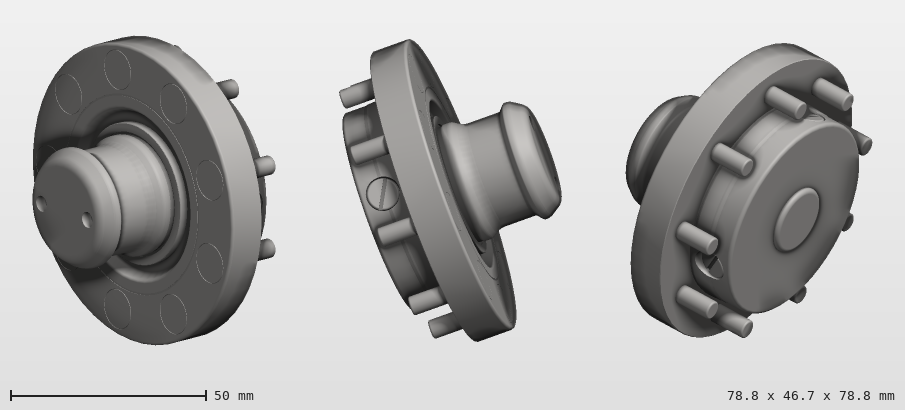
import cadquery as cq
import math


flange_radius = 39.4
flange_thickness = 10.0
flange_front_fillet = 0.8
flange_back_chamfer = 0.2

joint_outer_radius = 26.3
joint_inner_radius = 25.8
joint_depth = 0.1
recess_outer_radius = 23.25
recess_floor_radius = 20.65
recess_wall_angle = math.radians(57)
recess_fillet = 0.8
island_radius = 18.6
island_face_y = 0.4
island_chamfer = 0.15
gap_radius = 16.3
gap_floor_y = island_face_y + 0.5

knob_length = 22.7
knob_radius = 15.8
knob_root_radius = 15.55
knob_root_length = 0.5
neck_radius = 14.0
neck_root_y = -7.0
neck_tip_y = -15.05
collar_end_y = -2.05
collar_fillet = 2.0
neck_root_fillet = 5.2
neck_tip_fillet = 1.0
lip_start_y = -17.4
lip_fillet = 0.6
rim_start_y = -17.6
rim_fillet = 3.0
knob_tip_radius = 11.45
knob_tip_fillet = 3.0
flank_angle = math.radians(30)
lip_angle = math.radians(45)

spanner_hole_offset = 9.0
spanner_hole_radius = 2.1
spanner_hole_depth = 3.0
spanner_cone_depth = 1.2

body_back_y = 22.6
body_back_radius = 27.0
body_back_fillet = 1.0
body_cone_back_y = 16.4
body_cone_front_y = 15.5
body_cone_front_radius = 27.2
body_band_y = 15.0
body_skirt_y = 11.15
body_skirt_radius = 27.45
body_foot_y = 10.4
body_foot_radius = 27.2
cap_radius = 9.0
cap_back_y = 24.0
cap_fillet = 1.2

bolt_count = 9
bolt_circle_radius = 32.5
bolt_radius = 2.5
bolt_end_y = 20.2
bolt_end_fillet = 0.5
bolt_head_radius = 5.15
bolt_bore_radius = 5.3
bolt_gap_depth = 0.3

side_screw_angles = [0, 120, 240]
side_screw_y = 16.5
side_screw_radial = 26.35
side_screw_lean = 10.0
side_screw_bore_radius = 4.4
side_screw_head_radius = 4.15
side_screw_head_fillet = 0.5
side_screw_head_height = 1.5
side_bore_overrun = 5.0
slot_width = 1.0
slot_depth = 0.8
slot_angle = -27.0


def fillet_point(edge_radius, edge_y, fillet, angle, radial_sign, axial_sign):
    """Point (radius, y) on an arc that leaves a cylinder at edge_y, after turning by angle."""
    radius = edge_radius + radial_sign * fillet * (1 - math.cos(angle))
    return radius, edge_y + axial_sign * fillet * math.sin(angle)


def y_cylinder(radius, y_start, y_end):
    """Solid cylinder on the Y axis between two y positions."""
    plane = cq.Workplane("XZ", origin=(0, y_start, 0))
    return plane.circle(radius).extrude(y_start - y_end)


def y_ring(outer_radius, inner_radius, y_start, y_end):
    return y_cylinder(outer_radius, y_start, y_end).cut(y_cylinder(inner_radius, y_start, y_end))


def revolve_about_y(profile):
    return profile.close().revolve(360, (0, 0, 0), (0, 1, 0))


def make_flange():
    flange = y_cylinder(flange_radius, 0, flange_thickness)
    flange = flange.faces("<Y").edges().fillet(flange_front_fillet)
    flange = flange.faces(">Y").edges().chamfer(flange_back_chamfer)
    flange = flange.cut(y_ring(joint_outer_radius, joint_inner_radius, 0, joint_depth))
    flange = flange.cut(make_recess())
    flange = flange.cut(make_island_cut())
    return flange.cut(y_cylinder(gap_radius, 0, gap_floor_y))


def make_recess():
    """Annular groove with a sloping, rounded outer wall and a straight inner wall."""
    half = recess_wall_angle / 2
    run = recess_fillet * math.sin(recess_wall_angle)
    drop = recess_fillet * (1 - math.cos(recess_wall_angle))
    mid_run = recess_fillet * math.sin(half)
    mid_drop = recess_fillet * (1 - math.cos(half))
    wall_run = recess_outer_radius - recess_floor_radius - 2 * run
    depth = 2 * drop + wall_run * math.tan(recess_wall_angle)
    profile = (
        cq.Workplane("XY")
        .moveTo(island_radius, 0)
        .lineTo(recess_outer_radius, 0)
        .threePointArc((recess_outer_radius - mid_run, mid_drop), (recess_outer_radius - run, drop))
        .lineTo(recess_floor_radius + run, depth - drop)
        .threePointArc((recess_floor_radius + mid_run, depth - mid_drop), (recess_floor_radius, depth))
        .lineTo(island_radius, depth)
    )
    return revolve_about_y(profile)


def make_island_cut():
    """Shallow cut that lowers the island face and chamfers its rim."""
    profile = (
        cq.Workplane("XY")
        .lineTo(island_radius, 0)
        .lineTo(island_radius, island_face_y + island_chamfer)
        .lineTo(island_radius - island_chamfer, island_face_y)
        .lineTo(0, island_face_y)
    )
    return revolve_about_y(profile)


def make_knob():
    def collar(angle):
        return fillet_point(knob_radius, collar_end_y, collar_fillet, angle, -1, -1)

    def neck_root(angle):
        return fillet_point(neck_radius, neck_root_y, neck_root_fillet, angle, 1, 1)

    def neck_tip(angle):
        return fillet_point(neck_radius, neck_tip_y, neck_tip_fillet, angle, 1, -1)

    def lip(angle):
        return fillet_point(knob_radius, lip_start_y, lip_fillet, angle, -1, 1)

    def rim(angle):
        return fillet_point(knob_radius, rim_start_y, rim_fillet, angle, -1, -1)

    def tip(angle):
        radius = knob_tip_radius + knob_tip_fillet * math.sin(angle)
        return radius, -knob_length + knob_tip_fillet * (1 - math.cos(angle))

    tip_angle = math.pi / 2 - flank_angle
    profile = (
        cq.Workplane("XY")
        .moveTo(0, gap_floor_y)
        .lineTo(knob_root_radius, gap_floor_y)
        .lineTo(knob_root_radius, -knob_root_length)
        .lineTo(knob_radius, -knob_root_length)
        .lineTo(knob_radius, collar_end_y)
        .threePointArc(collar(flank_angle / 2), collar(flank_angle))
        .lineTo(*neck_root(flank_angle))
        .threePointArc(neck_root(flank_angle / 2), (neck_radius, neck_root_y))
        .lineTo(neck_radius, neck_tip_y)
        .threePointArc(neck_tip(lip_angle / 2), neck_tip(lip_angle))
        .lineTo(*lip(lip_angle))
        .threePointArc(lip(lip_angle / 2), (knob_radius, lip_start_y))
        .lineTo(knob_radius, rim_start_y)
        .threePointArc(rim(flank_angle / 2), rim(flank_angle))
        .lineTo(*tip(tip_angle))
        .threePointArc(tip(tip_angle / 2), (knob_tip_radius, -knob_length))
        .lineTo(0, -knob_length)
    )
    return revolve_about_y(profile)


def make_spanner_hole(x):
    """Drilled hole with a conical bottom, entering the knob tip."""
    bottom_y = -knob_length + spanner_hole_depth
    profile = (
        cq.Workplane("XY")
        .moveTo(0, -knob_length)
        .lineTo(spanner_hole_radius, -knob_length)
        .lineTo(spanner_hole_radius, bottom_y)
        .lineTo(0, bottom_y + spanner_cone_depth)
    )
    return revolve_about_y(profile).translate((x, 0, 0))


def make_body():
    profile = (
        cq.Workplane("XY")
        .moveTo(0, flange_thickness)
        .lineTo(body_foot_radius, flange_thickness)
        .lineTo(body_foot_radius, body_foot_y)
        .lineTo(body_skirt_radius, body_skirt_y)
        .lineTo(body_cone_front_radius, body_band_y)
        .lineTo(body_cone_front_radius, body_cone_front_y)
        .lineTo(body_back_radius, body_cone_back_y)
        .lineTo(body_back_radius, body_back_y)
        .lineTo(0, body_back_y)
    )
    body = revolve_about_y(profile).faces(">Y").edges().fillet(body_back_fillet)
    cap = y_cylinder(cap_radius, body_back_y, cap_back_y)
    return body.union(cap.faces(">Y").edges().fillet(cap_fillet))


def make_bolt_shank():
    shank = y_cylinder(bolt_radius, flange_thickness, bolt_end_y)
    return shank.faces(">Y").edges().fillet(bolt_end_fillet)


def make_bolt_gap():
    """Thin ring between a flush bolt head and its counterbore."""
    return y_ring(bolt_bore_radius, bolt_head_radius, 0, bolt_gap_depth)


def at_bolt(shape, index):
    """Move a shape from the Y axis to one bolt position."""
    angle = math.pi + index * 2 * math.pi / bolt_count
    return shape.translate((bolt_circle_radius * math.cos(angle), 0, bolt_circle_radius * math.sin(angle)))


def at_side_screw(shape, angle):
    """Move a shape made along Z, with its head face on z = 0, to one side screw position."""
    placed = shape.rotate((0, 0, 0), (1, 0, 0), side_screw_lean)
    placed = placed.translate((0, side_screw_y, side_screw_radial))
    return placed.rotate((0, 0, 0), (0, 1, 0), 90 - angle)


def make_side_bore():
    bore = cq.Workplane("XY", origin=(0, 0, -side_screw_head_height))
    return bore.circle(side_screw_bore_radius).extrude(side_screw_head_height + side_bore_overrun)


def make_side_head():
    head = cq.Workplane("XY").circle(side_screw_head_radius).extrude(-side_screw_head_height)
    head = head.faces(">Z").edges().fillet(side_screw_head_fillet)
    slot = cq.Workplane("XY").rect(2 * side_screw_head_radius, slot_width).extrude(-slot_depth)
    return head.cut(slot.rotate((0, 0, 0), (0, 0, 1), slot_angle))


def build():
    part = make_flange().union(make_knob()).union(make_body())
    for x in (-spanner_hole_offset, spanner_hole_offset):
        part = part.cut(make_spanner_hole(x))
    for index in range(bolt_count):
        part = part.union(at_bolt(make_bolt_shank(), index))
        part = part.cut(at_bolt(make_bolt_gap(), index))
    for angle in side_screw_angles:
        part = part.cut(at_side_screw(make_side_bore(), angle))
        part = part.union(at_side_screw(make_side_head(), angle))
    return part


result = build()